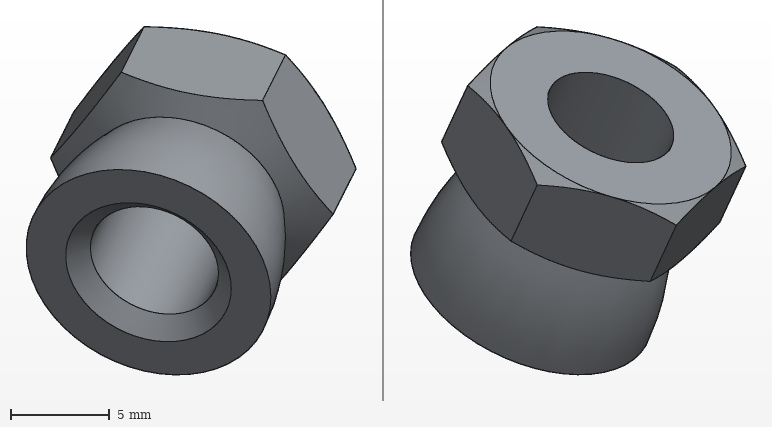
import cadquery as cq
import math

across_corners = 15.01
across_flats = across_corners * math.cos(math.radians(30))
flat_radius = across_flats / 2

total_length = 11.7
seat_length = 6.0
neck_radius = 5.31
chamfer_angle = math.radians(30)

bore_diameter = 6.8
countersink_diameter = 8.8
countersink_half_angle = math.radians(45)

front_y = -total_length / 2
back_y = total_length / 2
neck_y = front_y + seat_length
corner_radius = across_corners / 2
chamfer_slope = math.tan(chamfer_angle)


def make_hexagon():
    """Hexagonal prism from the neck to the back face."""
    hexagon = cq.Workplane("XZ", origin=(0, back_y, 0)).polygon(6, across_corners)
    return hexagon.extrude(back_y - neck_y)


def make_chamfer_envelope():
    """Turned blank whose end cones cut the hexagon corners."""
    back_drop = (corner_radius - flat_radius) * chamfer_slope
    neck_rise = (corner_radius - neck_radius) * chamfer_slope
    profile = (
        cq.Workplane("XY")
        .moveTo(0, neck_y)
        .lineTo(neck_radius, neck_y)
        .lineTo(corner_radius, neck_y + neck_rise)
        .lineTo(corner_radius, back_y - back_drop)
        .lineTo(flat_radius, back_y)
        .lineTo(0, back_y)
        .close()
    )
    return profile.revolve(360, (0, 0, 0), (0, 1, 0))


def make_seat():
    """Domed seat, parallel to the axis at the front face and narrowing to the neck."""
    narrowing = flat_radius - neck_radius
    arc_radius = (seat_length**2 + narrowing**2) / (2 * narrowing)
    arc_center = flat_radius - arc_radius
    middle_radius = arc_center + math.sqrt(arc_radius**2 - (seat_length / 2) ** 2)
    profile = (
        cq.Workplane("XY")
        .moveTo(0, front_y)
        .lineTo(flat_radius, front_y)
        .threePointArc((middle_radius, front_y + seat_length / 2), (neck_radius, neck_y))
        .lineTo(0, neck_y)
        .close()
    )
    return profile.revolve(360, (0, 0, 0), (0, 1, 0))


def make_bore():
    """Through bore with a conical countersink at the front face."""
    bore_radius = bore_diameter / 2
    countersink_radius = countersink_diameter / 2
    countersink_depth = (countersink_radius - bore_radius) / math.tan(countersink_half_angle)
    profile = (
        cq.Workplane("XY")
        .moveTo(0, front_y)
        .lineTo(countersink_radius, front_y)
        .lineTo(bore_radius, front_y + countersink_depth)
        .lineTo(bore_radius, back_y)
        .lineTo(0, back_y)
        .close()
    )
    return profile.revolve(360, (0, 0, 0), (0, 1, 0))


head = make_hexagon().intersect(make_chamfer_envelope())
result = head.union(make_seat()).cut(make_bore())